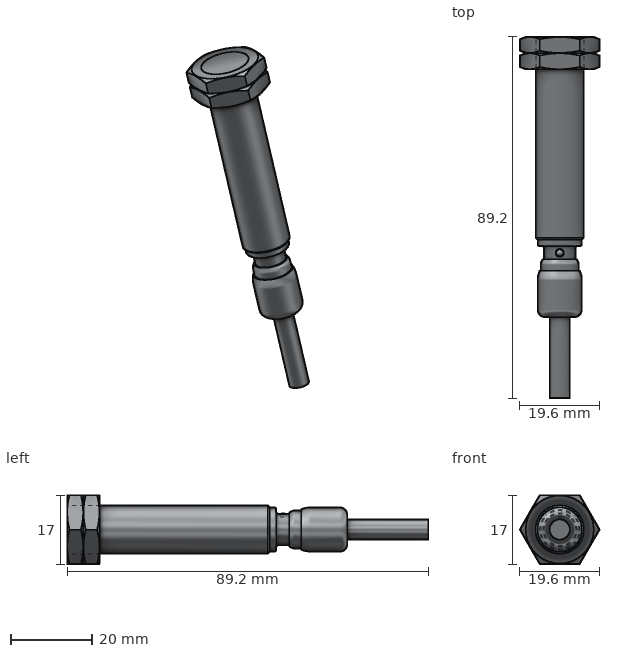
import cadquery as cq
import math

LENGTH = 89.2

NUT_COUNT = 2
NUT_FLATS = 17.0
NUT_THICKNESS = 4.0
NUT_CHAMFER_ANGLE = 22.0
NUT_FACE_RADIUS = 8.4

BARREL_RADIUS = 6.0
BARREL_END = 50.0
FLANGE_RADIUS = 11.0 / 2
FLANGE_END = 51.65
FLANGE_FILLET = 0.5

NECK_RADIUS = 3.9
NECK_END = 54.9
NECK_FILLET = 0.45

COLLAR_RADIUS = 4.7
COLLAR_TIP_RADIUS = 4.2
COLLAR_CONE_RADIUS = 4.6
COLLAR_CONE_END = 55.7
COLLAR_ROUND_END = 56.2
COLLAR_END = 57.8
SHOULDER_RADIUS = 5.0
SHOULDER_END = 59.9
GRIP_RADIUS = FLANGE_RADIUS
GRIP_FILLET = 2.0

CABLE_RADIUS = 2.5
CABLE_LENGTH = 20.0

LIGHT_DISTANCE = 53.3
DOME_RADIUS = 0.9
DOME_RISE = 0.1
WELL_RADIUS = 1.0


def make_turned_body():
    """Barrel, neck, plug and cable as one turned shape."""
    grip_end = LENGTH - CABLE_LENGTH
    barrel_chamfer = BARREL_RADIUS - FLANGE_RADIUS

    return (
        cq.Workplane("XY")
        .moveTo(0, -LENGTH)
        .lineTo(CABLE_RADIUS, -LENGTH)
        .lineTo(CABLE_RADIUS, -grip_end)
        .lineTo(GRIP_RADIUS - GRIP_FILLET, -grip_end)
        .tangentArcPoint((GRIP_RADIUS, GRIP_FILLET - grip_end), relative=False)
        .lineTo(GRIP_RADIUS, -SHOULDER_END)
        .tangentArcPoint((SHOULDER_RADIUS, -COLLAR_END), relative=False)
        .lineTo(COLLAR_RADIUS, -COLLAR_END)
        .lineTo(COLLAR_RADIUS, -COLLAR_ROUND_END)
        .tangentArcPoint((COLLAR_CONE_RADIUS, -COLLAR_CONE_END), relative=False)
        .lineTo(COLLAR_TIP_RADIUS, -NECK_END)
        .lineTo(NECK_RADIUS, -NECK_END)
        .lineTo(NECK_RADIUS, -(FLANGE_END + NECK_FILLET))
        .tangentArcPoint((NECK_RADIUS + NECK_FILLET, -FLANGE_END), relative=False)
        .lineTo(FLANGE_RADIUS - FLANGE_FILLET, -FLANGE_END)
        .tangentArcPoint((FLANGE_RADIUS, FLANGE_FILLET - FLANGE_END), relative=False)
        .lineTo(FLANGE_RADIUS, -BARREL_END)
        .lineTo(BARREL_RADIUS, barrel_chamfer - BARREL_END)
        .lineTo(BARREL_RADIUS, 0)
        .lineTo(0, 0)
        .close()
        .revolve(360, (0, 0), (0, 1))
    )


def add_light(body):
    """Sink the light's well into the top of the neck and stand the dome in it."""
    dome_centre_height = NECK_RADIUS + DOME_RISE - DOME_RADIUS
    well_floor = cq.Workplane("XY", origin=(0, -LIGHT_DISTANCE, dome_centre_height))
    well = well_floor.circle(WELL_RADIUS).extrude(DOME_RADIUS)
    dome = well_floor.sphere(DOME_RADIUS)
    return body.cut(well).union(dome)


def make_nut(index):
    """One jam nut, chamfered on both faces; nut 0 is flush with the sensing face."""
    corner_radius = NUT_FLATS / 2 / math.cos(math.radians(30))
    chamfer_depth = (corner_radius - NUT_FACE_RADIUS) * math.tan(math.radians(NUT_CHAMFER_ANGLE))
    front = -index * NUT_THICKNESS
    back = front - NUT_THICKNESS

    hexagon = (
        cq.Workplane("XZ", origin=(0, front, 0))
        .polygon(6, 2 * corner_radius)
        .circle(BARREL_RADIUS)
        .extrude(NUT_THICKNESS)
    )
    chamfer_envelope = (
        cq.Workplane("XY")
        .moveTo(0, front)
        .lineTo(NUT_FACE_RADIUS, front)
        .lineTo(corner_radius, front - chamfer_depth)
        .lineTo(corner_radius, back + chamfer_depth)
        .lineTo(NUT_FACE_RADIUS, back)
        .lineTo(0, back)
        .close()
        .revolve(360, (0, 0), (0, 1))
    )
    return hexagon.intersect(chamfer_envelope)


sensor = add_light(make_turned_body())
nuts = [make_nut(index) for index in range(NUT_COUNT)]

bodies = [sensor, *nuts]

result = cq.Compound.makeCompound([body.solids().val() for body in bodies])